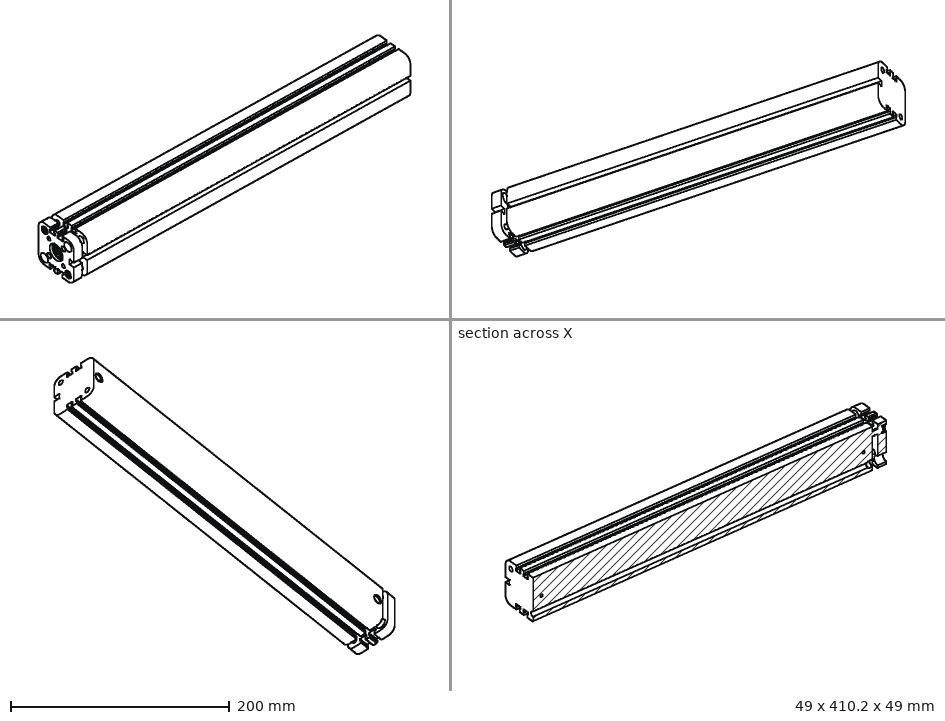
import cadquery as cq
import math


width = 49.0
total_length = 410.2
plate_thickness = 10.0
plate_gap = 6.2
cap_length = 13.5
corner_radius = 8.0

body_length = total_length - plate_thickness - plate_gap
plate_back = -plate_gap
plate_front = plate_back - plate_thickness
half_width = width / 2

slot_offset = 5.6
slot_opening = 5.0
plate_slot_inner_width = 8.0
body_slot_inner_width = 6.6
slot_depth = 6.0
slot_lip = 2.8
slot_throat = 3.8
tongue_chamfer = 1.2
side_groove_width = 5.6
side_groove_depth = 6.2

corner_offset = 16.25
bore_positions = [(corner_offset, corner_offset), (-corner_offset, -corner_offset)]
guide_positions = [(-corner_offset, corner_offset), (corner_offset, -corner_offset)]
bore_diameter = 5.2
bore_recess_diameter = 7.5
bore_recess_depth = 5.0
plate_bore_diameter = 10.0

guide_diameters = [6.0, 5.0]
screw_recess_diameter = 8.0
screw_recess_depth = 5.0
screw_head_diameter = 6.0
screw_head_sink = 1.0
screw_socket_size = 2.5
screw_socket_depth = 2.5

rod_diameter = 12.0
rod_tip_chamfer = 0.7
rod_neck_diameter = 11.0
rod_neck_length = 1.5
rod_sink = 1.0
rod_flat_size = 10.0
rod_flat_cutter_radius = 5.0
recess_diameter = 18.0
recess_depth = 3.0
inner_recess_diameter = 16.0
inner_recess_depth = 4.0
center_cone_diameter = 4.92
center_cone_depth = 3.0
tip_slot_length = 7.4
tip_slot_width = 3.7
tip_slot_depth = 1.0

fixing_offset = 10.0
threaded_hole_diameter = 4.13
dowel_hole_diameter = 5.0
dowel_mouth_diameter = 5.6

port_diameter = 7.5
port_mouth_diameter = 9.5
port_depth = 8.0
port_inset = 7.2
air_passage_diameter = 2.5
air_passage_shift = 3.0
air_passage_depth = 4.0


def cylinder_y(position, diameter, y_start, y_end):
    """Cylinder along Y, centred on an (X, Z) position."""
    base = cq.Vector(position[0], y_start, position[1])
    return cq.Workplane(cq.Solid.makeCylinder(diameter / 2, y_end - y_start, base, cq.Vector(0, 1, 0)))


def hexagon_y(position, across_flats, y_start, y_end):
    """Hexagonal prism along Y, centred on an (X, Z) position."""
    plane = cq.Plane((position[0], y_start, position[1]), (1, 0, 0), (0, -1, 0))
    across_corners = across_flats / math.cos(math.pi / 6)
    return cq.Workplane(plane).polygon(6, across_corners).extrude(y_start - y_end)


def block(x_size, y_start, y_end, z_size):
    """Box centred on the rod axis."""
    return cq.Workplane().box(x_size, y_end - y_start, z_size).translate((0, (y_start + y_end) / 2, 0))


def t_slot(y_start, y_end, inner_width):
    """T-slot cutter that opens on the top face, centred on X = 0."""
    half_opening = slot_opening / 2
    half_inner = inner_width / 2
    return (
        cq.Workplane(cq.Plane((0, y_start, 0), (1, 0, 0), (0, -1, 0)))
        .moveTo(-half_opening, half_width)
        .lineTo(-half_opening, half_width - slot_lip)
        .lineTo(-half_inner, half_width - slot_throat)
        .lineTo(-half_inner, half_width - slot_depth)
        .lineTo(half_inner, half_width - slot_depth)
        .lineTo(half_inner, half_width - slot_throat)
        .lineTo(half_opening, half_width - slot_lip)
        .lineTo(half_opening, half_width)
        .close()
        .extrude(y_start - y_end)
    )


def profile(y_start, y_end, slot_inner_width):
    """Length of the slotted square section with rounded corners."""
    section = block(width, y_start, y_end, width).edges("|Y").fillet(corner_radius)
    slot = t_slot(y_start, y_end, slot_inner_width)
    for shift in (-slot_offset, slot_offset):
        top_slot = slot.translate((shift, 0, 0))
        section = section.cut(top_slot).cut(top_slot.mirror("XY"))
    groove = block(2 * side_groove_depth, y_start, y_end, side_groove_width)
    return section.cut(groove.translate((half_width, 0, 0)))


def countersunk_cutter(diameter, mouth_diameter, depth):
    """Round hole cutter along +Z from the origin, with a 45-degree countersunk mouth."""
    mouth_depth = (mouth_diameter - diameter) / 2
    return (
        cq.Workplane("XZ")
        .lineTo(mouth_diameter / 2, 0)
        .lineTo(diameter / 2, mouth_depth)
        .lineTo(diameter / 2, depth)
        .lineTo(0, depth)
        .close()
        .revolve(360, (0, 0, 0), (0, 1, 0))
    )


def add_air_port(cap, y_center, toward_tube):
    """Blind port on the -X side with an air passage offset toward the tube."""
    port = countersunk_cutter(port_diameter, port_mouth_diameter, port_depth)
    passage = (
        cq.Workplane()
        .center(0, toward_tube * air_passage_shift)
        .circle(air_passage_diameter / 2)
        .extrude(port_depth + air_passage_depth)
    )
    cutter = port.union(passage).rotate((0, 0, 0), (0, 1, 0), 90)
    return cap.cut(cutter.translate((-half_width, y_center, 0)))


def make_bored_section(y_start, y_end):
    """Slotted section of the body with the two long bores."""
    section = profile(y_start, y_end, body_slot_inner_width)
    for position in bore_positions:
        section = section.cut(cylinder_y(position, bore_diameter, y_start, y_end))
    return section


def make_front_cap():
    """Front cap with widened bore mouths and an air port."""
    cap = make_bored_section(0, cap_length)
    for position in bore_positions:
        cap = cap.cut(cylinder_y(position, bore_recess_diameter, 0, bore_recess_depth))
    return add_air_port(cap, port_inset, 1)


def bevel_tongue(plate):
    """Bevel the outer corners of the tongues between each pair of slots."""
    tongue_half_width = slot_offset - slot_opening / 2
    bevel = (
        cq.Workplane(cq.Plane((0, plate_front, 0), (1, 0, 0), (0, -1, 0)))
        .moveTo(tongue_half_width, half_width)
        .lineTo(tongue_half_width - tongue_chamfer, half_width)
        .lineTo(tongue_half_width, half_width - tongue_chamfer)
        .close()
        .extrude(-plate_thickness)
    )
    bevels = bevel.union(bevel.mirror("YZ"))
    return plate.cut(bevels).cut(bevels.mirror("XY"))


def add_screw(plate, position):
    """Counterbore in the plate holding a hexagon-socket screw head."""
    head_front = plate_front + screw_head_sink
    head_back = plate_front + screw_recess_depth
    plate = plate.cut(cylinder_y(position, screw_recess_diameter, plate_front, head_back))
    plate = plate.union(cylinder_y(position, screw_head_diameter, head_front, head_back))
    return plate.cut(hexagon_y(position, screw_socket_size, head_front, head_front + screw_socket_depth))


def make_plate():
    """Front plate with its bores, fixing holes, stepped recess and guide rod screws."""
    plate = bevel_tongue(profile(plate_front, plate_back, plate_slot_inner_width))
    for position in bore_positions:
        plate = plate.cut(cylinder_y(position, plate_bore_diameter, plate_front, plate_back))
    for side in (-1, 1):
        dowel = countersunk_cutter(dowel_hole_diameter, dowel_mouth_diameter, plate_thickness)
        dowel = dowel.rotate((0, 0, 0), (1, 0, 0), -90)
        threaded = (side * fixing_offset, -side * fixing_offset)
        plate = plate.cut(dowel.translate((side * fixing_offset, plate_front, side * fixing_offset)))
        plate = plate.cut(cylinder_y(threaded, threaded_hole_diameter, plate_front, plate_back))
    recess_steps = [(recess_diameter, recess_depth), (inner_recess_diameter, inner_recess_depth)]
    for diameter, depth in recess_steps:
        plate = plate.cut(cylinder_y((0, 0), diameter, plate_front, plate_front + depth))
    for position in guide_positions:
        plate = add_screw(plate, position)
    return plate


def make_rod_tip():
    """Chamfered rod end inside the plate, with a slot and a conical centre hole."""
    tip_front = plate_front + rod_sink
    tip = cylinder_y((0, 0), rod_diameter, tip_front, plate_back).faces("<Y").chamfer(rod_tip_chamfer)
    cone = cq.Solid.makeCone(
        center_cone_diameter / 2, 0, center_cone_depth, cq.Vector(0, tip_front, 0), cq.Vector(0, 1, 0)
    )
    slot = block(tip_slot_length, tip_front, tip_front + tip_slot_depth, tip_slot_width)
    return tip.cut(cq.Workplane(cone)).cut(slot)


def make_exposed_rod():
    """Rod between plate and cap: a short neck at the plate and two round-ended wrench flats."""
    neck_end = plate_back + rod_neck_length
    rod = cylinder_y((0, 0), rod_diameter, neck_end, 0)
    rod = rod.union(cylinder_y((0, 0), rod_neck_diameter, plate_back, neck_end))
    for side in (-1, 1):
        start = cq.Vector(side * rod_flat_size / 2, plate_back, 0)
        cutter = cq.Solid.makeCylinder(rod_flat_cutter_radius, rod_diameter, start, cq.Vector(side, 0, 0))
        rod = rod.cut(cq.Workplane(cutter))
    return rod


front_end = make_front_cap().union(make_plate()).union(make_rod_tip()).union(make_exposed_rod())
for position, diameter in zip(guide_positions, guide_diameters):
    front_end = front_end.union(cylinder_y(position, diameter, plate_back, 0))

tube_end = body_length - cap_length
tube = make_bored_section(cap_length, tube_end)
rear_cap = add_air_port(make_bored_section(tube_end, body_length), body_length - port_inset, -1)

result = front_end.union(tube, clean=False).union(rear_cap, clean=False)